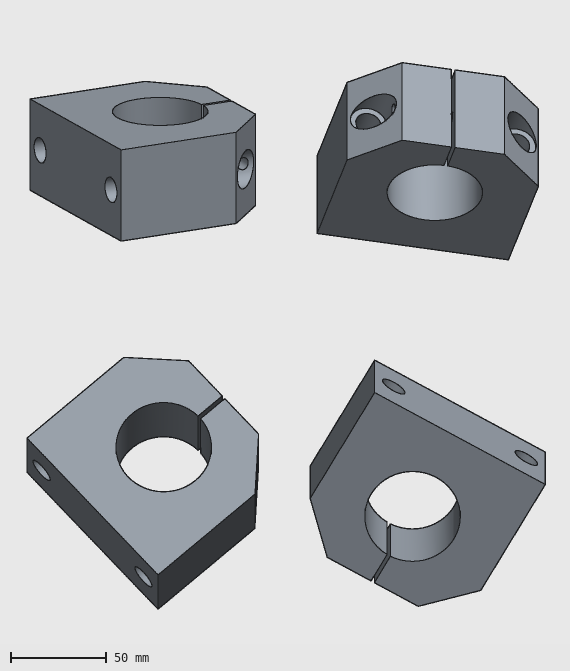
import cadquery as cq

width = 103.0
length = 92.0
height = 50.0
corner_chamfer = 24.0

bore_diameter = 50.0
bore_center_y = 50.0
slit_width = 2.0

mount_spacing = 80.0
mount_diameter = 13.5
counterbore_diameter = 20.0
counterbore_floor_y = length - corner_chamfer

screw_diameter = 6.6
screw_center_y = 83.0


def make_block():
    block = cq.Workplane("XY").box(width, length, height, centered=(True, False, True))
    return block.edges("|Z and >Y").chamfer(corner_chamfer)


def make_bore_and_slit():
    bore = (
        cq.Workplane("XY")
        .center(0, bore_center_y)
        .circle(bore_diameter / 2)
        .extrude(height / 2, both=True)
    )
    slit_length = length - bore_center_y
    slit = (
        cq.Workplane("XY")
        .center(0, bore_center_y + slit_length / 2)
        .rect(slit_width, slit_length)
        .extrude(height / 2, both=True)
    )
    return bore.union(slit)


def make_cylinder_along_y(diameter, center_x, start_y):
    """Cylinder from start_y to the rear face."""
    start = cq.Vector(center_x, start_y, 0)
    return cq.Solid.makeCylinder(diameter / 2, length - start_y, start, cq.Vector(0, 1, 0))


def make_screw_hole():
    return (
        cq.Workplane("YZ")
        .center(screw_center_y, 0)
        .circle(screw_diameter / 2)
        .extrude(width / 2, both=True)
    )


result = make_block().cut(make_bore_and_slit())
for side in (-1, 1):
    mount_x = side * mount_spacing / 2
    result = result.cut(make_cylinder_along_y(mount_diameter, mount_x, 0))
    result = result.cut(make_cylinder_along_y(counterbore_diameter, mount_x, counterbore_floor_y))
result = result.cut(make_screw_hole())